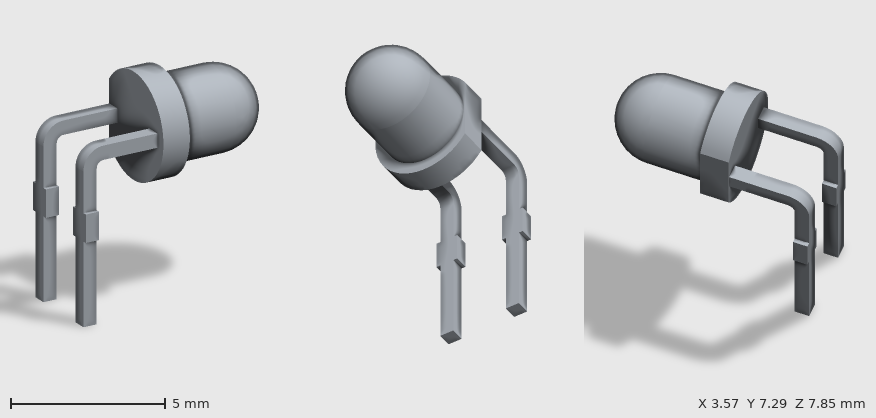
import cadquery as cq

lens_diameter = 3.0
lens_radius = lens_diameter / 2
barrel_length = 2.0
flange_radius = 1.9
flange_thickness = 1.0
flat_distance = 1.555

lead_size = 0.5
lead_spacing = 2.53
lead_reach = 2.795
lead_drop = 5.95
inner_bend_radius = 0.25
outer_bend_radius = inner_bend_radius + lead_size

tab_width = 0.8
tab_height = 1.0
tab_above_tip = 3.0


def make_lens():
    """Domed lens, revolved about the Y axis from the front of the flange."""
    dome_start = flange_thickness + barrel_length
    dome_offset = lens_radius * 0.5 ** 0.5
    return (
        cq.Workplane("XY")
        .moveTo(0, flange_thickness)
        .lineTo(lens_radius, flange_thickness)
        .lineTo(lens_radius, dome_start)
        .threePointArc((dome_offset, dome_start + dome_offset), (0, dome_start + lens_radius))
        .close()
        .revolve(360, (0, 0, 0), (0, 1, 0))
    )


def make_flange():
    """Round flange with one flat on its -X side."""
    disc = cq.Workplane("XZ").circle(flange_radius).extrude(-flange_thickness)
    keep_box = cq.Workplane("XY").box(
        flat_distance + flange_radius,
        flange_thickness,
        2 * flange_radius,
        centered=(False, False, True),
    )
    return disc.intersect(keep_box.translate((-flat_distance, 0, 0)))


def make_lead(x_center):
    """Right-angle lead with a rounded bend and a wider stand-off tab."""
    top = lead_size / 2
    outer_face = -lead_reach
    inner_face = outer_face + lead_size
    lead = (
        cq.Workplane("YZ")
        .moveTo(0, top)
        .lineTo(outer_face + outer_bend_radius, top)
        .radiusArc((outer_face, top - outer_bend_radius), -outer_bend_radius)
        .lineTo(outer_face, -lead_drop)
        .lineTo(inner_face, -lead_drop)
        .lineTo(inner_face, -top - inner_bend_radius)
        .radiusArc((inner_face + inner_bend_radius, -top), inner_bend_radius)
        .lineTo(0, -top)
        .close()
        .extrude(lead_size / 2, both=True)
    )
    tab = cq.Workplane("XY").box(tab_width, lead_size, tab_height, centered=(True, False, False))
    tab = tab.translate((0, outer_face, tab_above_tip - lead_drop))
    return lead.union(tab).translate((x_center, 0, 0))


result = make_flange().union(make_lens())
for side in (-1, 1):
    result = result.union(make_lead(side * lead_spacing / 2))